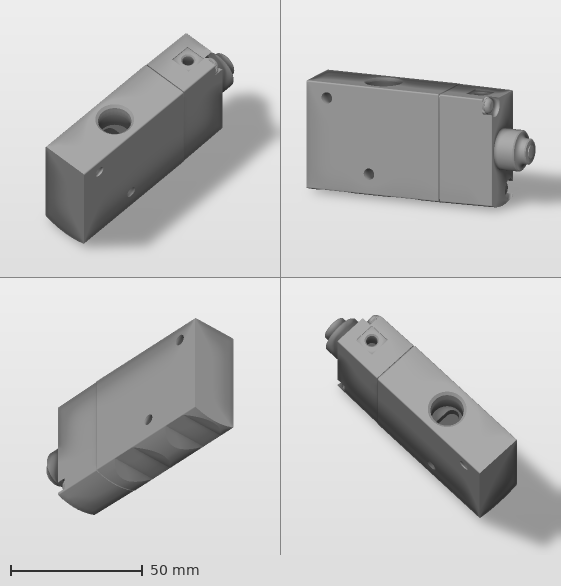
import cadquery as cq
import math

body_width = 20.0
body_height = 43.7
body_length = 54.95
edge_radius = 0.5
bottom_bulge = 1.9

groove_width = 0.5
groove_depth = 0.6
head_start = body_length + groove_width
head_end = 77.2
head_width = 19.6
head_top = 43.6
head_bottom = 0.0
head_end_chamfer = 0.2
head_draft = 0.22
stub_z = 22.5

port_y = 27.6
port_diameter = 12.1
port_taper_diameter = 12.7
port_mouth_diameter = 14.7
port_depth = 10.7
port_taper_length = 3.6
port_slot_length = 10.5
port_slot_width = 5.35
port_slot_depth = 3.6

valley_centers_y = (11.8, 40.05)
valley_floor_width = 9.6
valley_mouth_width = 21.4
valley_depth = 1.8

mounting_hole_diameter = 4.4
mounting_holes = ((8.5, 37.7), (26.05, 9.7))

pad_y = 68.15
pad_size = 8.6
pad_floor_z = 43.1
pilot_port_diameter = 4.4
pilot_mouth_diameter = 5.5
pilot_port_depth = 7.1

stub_diameter = 15.9
stub_end = 85.3
stub_chamfer = 0.45
collar_diameter = 10.0
collar_root_radius = 1.5
collar_end = 88.8
collar_chamfer = 0.45
tip_diameter = 5.0
tip_end = 89.2

screw_places = ((6.7, 40.4), (-6.4, 5.35))
screw_pocket_diameter = 8.0
screw_seat_y = 73.1
flange_diameter = 6.6
flange_thickness = 0.8
flange_teeth = 48
tooth_depth = 0.2
dome_diameter = 6.1
dome_top_diameter = 3.0
dome_height = 1.7


def outline(width, bottom, top, corner_radius):
    """Section in X and Z: flat top and sides, rounded underside, rounded corners."""
    half = width / 2
    shoulder = bottom + bottom_bulge
    edges = [
        cq.Edge.makeLine(cq.Vector(-half, shoulder), cq.Vector(-half, top)),
        cq.Edge.makeLine(cq.Vector(-half, top), cq.Vector(half, top)),
        cq.Edge.makeLine(cq.Vector(half, top), cq.Vector(half, shoulder)),
        cq.Edge.makeThreePointArc(
            cq.Vector(half, shoulder), cq.Vector(0, bottom), cq.Vector(-half, shoulder)
        ),
    ]
    face = cq.Face.makeFromWires(cq.Wire.assembleEdges(edges))
    return cq.Sketch().face(face).vertices().fillet(corner_radius)


def section_plane(y):
    """Plane across the part, upright along Z, whose normal is +Y."""
    return cq.Plane(origin=(0, y, 0), xDir=(-1, 0, 0), normal=(0, 1, 0))


def turned(profile, x, z):
    """Solid of (radius, y) points and arcs turned about an axis along Y."""
    return profile.close().revolve(360, (0, 0, 0), (0, 1, 0)).translate((x, 0, z))


def round_hole(y, stations):
    """Vertical hole whose wall joins the given (diameter, z) stations, listed from the top down."""
    wall = [(diameter / 2, z) for diameter, z in stations]
    top_z = stations[0][1]
    floor_z = stations[-1][1]
    section = cq.Workplane("XZ").polyline([(0, top_z), *wall, (0, floor_z)]).close()
    return section.revolve(360, (0, 0, 0), (0, 1, 0)).translate((0, y, 0))


def make_body():
    body = (
        cq.Workplane(section_plane(0))
        .placeSketch(outline(body_width, 0, body_height, edge_radius))
        .extrude(body_length)
    )
    neck = (
        cq.Workplane(section_plane(body_length))
        .placeSketch(
            outline(body_width - 2 * groove_depth, groove_depth, body_height - groove_depth, edge_radius)
        )
        .extrude(groove_width)
    )
    body = body.union(neck)

    mouth_depth = (port_mouth_diameter - port_taper_diameter) / 2
    port = round_hole(
        port_y,
        [
            (port_mouth_diameter, body_height),
            (port_taper_diameter, body_height - mouth_depth),
            (port_diameter, body_height - mouth_depth - port_taper_length),
            (port_diameter, body_height - port_depth),
        ],
    )
    port_slot = (
        cq.Workplane(origin=(0, port_y, body_height - port_depth))
        .slot2D(port_slot_length, port_slot_width)
        .extrude(-port_slot_depth)
    )
    body = body.cut(port).cut(port_slot)

    for valley_y in valley_centers_y:
        valley = (
            cq.Workplane("YZ", origin=(0, valley_y, 0))
            .moveTo(-valley_mouth_width / 2, 0)
            .lineTo(-valley_floor_width / 2, valley_depth)
            .lineTo(valley_floor_width / 2, valley_depth)
            .lineTo(valley_mouth_width / 2, 0)
            .close()
            .extrude(body_width, both=True)
        )
        body = body.cut(valley)

    cross_holes = (
        cq.Workplane("YZ")
        .pushPoints(mounting_holes)
        .circle(mounting_hole_diameter / 2)
        .extrude(body_width, both=True)
    )
    return body.cut(cross_holes)


def make_stub():
    """Turned stub: wide base, hollow fillet, collar and a low round tip."""
    stub_radius = stub_diameter / 2
    collar_radius = collar_diameter / 2
    root_radius = collar_radius + collar_root_radius
    arc_inset = collar_root_radius * (1 - math.sqrt(0.5))
    profile = (
        cq.Workplane("XY")
        .moveTo(0, head_end)
        .lineTo(stub_radius, head_end)
        .lineTo(stub_radius, stub_end - stub_chamfer)
        .lineTo(stub_radius - stub_chamfer, stub_end)
        .lineTo(root_radius, stub_end)
        .threePointArc(
            (collar_radius + arc_inset, stub_end + arc_inset),
            (collar_radius, stub_end + collar_root_radius),
        )
        .lineTo(collar_radius, collar_end - collar_chamfer)
        .lineTo(collar_radius - collar_chamfer, collar_end)
        .lineTo(tip_diameter / 2, collar_end)
        .lineTo(tip_diameter / 2, tip_end)
        .lineTo(0, tip_end)
    )
    return turned(profile, 0, stub_z)


def make_head():
    base = outline(head_width, head_bottom, head_top, edge_radius)
    end = outline(
        head_width - 2 * head_draft, head_bottom + head_draft, head_top - head_draft, edge_radius
    )
    length = head_end - head_start
    head = (
        cq.Workplane(section_plane(head_start))
        .placeSketch(base, end.moved(cq.Location(cq.Vector(0, 0, length))))
        .loft()
        .faces(">Y")
        .chamfer(head_end_chamfer)
        .union(make_stub())
    )

    pad = cq.Workplane(origin=(0, pad_y, pad_floor_z)).rect(pad_size, pad_size).extrude(body_height)
    pilot_mouth_depth = (pilot_mouth_diameter - pilot_port_diameter) / 2
    pilot_port = round_hole(
        pad_y,
        [
            (pilot_mouth_diameter, pad_floor_z),
            (pilot_port_diameter, pad_floor_z - pilot_mouth_depth),
            (pilot_port_diameter, pad_floor_z - pilot_port_depth),
        ],
    )
    head = head.cut(pad).cut(pilot_port)

    for x, z in screw_places:
        pocket = cq.Workplane("XZ", origin=(x, screw_seat_y, z)).circle(screw_pocket_diameter / 2)
        head = head.cut(pocket.extrude(screw_seat_y - head_end))
    return head


def make_screw(x, z):
    """Screw head: toothed flange under a dome with a flat top."""
    outer_radius = flange_diameter / 2
    inner_radius = outer_radius - tooth_depth
    step = math.pi / flange_teeth
    rim = []
    for i in range(2 * flange_teeth):
        radius = inner_radius if i % 2 else outer_radius
        rim.append((radius * math.cos(i * step), radius * math.sin(i * step)))
    flange = cq.Workplane("XZ", origin=(x, screw_seat_y, z)).polyline(rim).close().extrude(-flange_thickness)

    dome_base = screw_seat_y + flange_thickness
    dome_top = dome_base + dome_height
    base_radius = dome_diameter / 2
    top_radius = dome_top_diameter / 2
    profile = (
        cq.Workplane("XY")
        .moveTo(0, dome_base)
        .lineTo(base_radius, dome_base)
        .threePointArc(
            (
                top_radius + (base_radius - top_radius) * math.sqrt(0.5),
                dome_base + dome_height * math.sqrt(0.5),
            ),
            (top_radius, dome_top),
        )
        .lineTo(0, dome_top)
    )
    return flange.union(turned(profile, x, z))


valve_body = make_body()
pilot_head = make_head()
screws = [make_screw(x, z).val() for x, z in screw_places]

result = cq.Compound.makeCompound([valve_body.val(), pilot_head.val(), *screws])